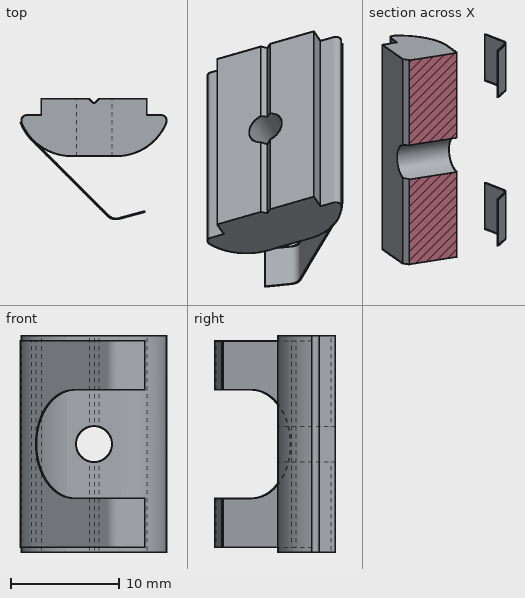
import cadquery as cq
import math

block_length = 20.0
tenon_half_width = 4.88
tenon_height = 1.5
block_half_width = 6.7
block_depth = 5.3
flat_half_width = 2.48
side_radius = 5.0
lip_radius = 0.5
notch_half_width = 0.45
notch_depth = 0.45
hole_diameter = 3.3

spring_length = 19.05
spring_thickness = 0.1
spring_front_y = -11.15
wrap_end = 221.6
leg_angle = 45.0
tip_angle = 15.0
bend_radius = 1.1
tip_end_x = 4.7
cutout_radius = 5.0
cutout_center_x = -1.85

side_center_x = 2.05
side_center_y = -block_depth + math.sqrt(side_radius**2 - (flat_half_width - side_center_x) ** 2)

edge_angle = math.degrees(math.acos((block_half_width - side_center_x) / side_radius))


def polar(center, radius, angle):
    """Point on a circle, with the angle in degrees from +X."""
    turn = math.radians(angle)
    return (center[0] + radius * math.cos(turn), center[1] + radius * math.sin(turn))


def make_block():
    side_center = (side_center_x, side_center_y)
    lip_center = (block_half_width - lip_radius, -tenon_height - lip_radius)
    flat_edge = (flat_half_width, -block_depth)
    flat_angle = -math.degrees(math.acos((flat_half_width - side_center_x) / side_radius))
    half = (
        cq.Workplane("XY")
        .moveTo(0, -notch_depth)
        .lineTo(notch_half_width, 0)
        .lineTo(tenon_half_width, 0)
        .lineTo(tenon_half_width, -tenon_height)
        .lineTo(lip_center[0], -tenon_height)
        .threePointArc(polar(lip_center, lip_radius, 45), polar(lip_center, lip_radius, 0))
        .lineTo(*polar(side_center, side_radius, -edge_angle))
        .threePointArc(polar(side_center, side_radius, (flat_angle - edge_angle) / 2), flat_edge)
        .lineTo(0, -block_depth)
        .close()
        .extrude(block_length / 2, both=True)
    )
    hole = cq.Workplane("XZ").circle(hole_diameter / 2).extrude(block_depth)
    return half.union(half.mirror("YZ")).clean().cut(hole)


def make_spring():
    wrap_center = (-side_center_x, side_center_y)
    wrap_outer = side_radius + spring_thickness
    wrap_start = 180 + edge_angle
    wrap_middle = (wrap_start + wrap_end) / 2

    leg_outer_start = polar(wrap_center, wrap_outer, wrap_end)
    leg_normal = 270 - leg_angle
    leg_inner_start = polar(leg_outer_start, -spring_thickness, leg_normal)
    bend_center_y = spring_front_y + bend_radius
    leg_turn = math.radians(leg_angle)
    bend_center_x = (
        leg_outer_start[0]
        + bend_radius / math.sin(leg_turn)
        + (leg_outer_start[1] - bend_center_y) / math.tan(leg_turn)
    )
    bend_center = (bend_center_x, bend_center_y)
    bend_inner = bend_radius - spring_thickness
    bend_end = 270 + tip_angle
    bend_middle = (leg_normal + bend_end) / 2

    tip_turn = math.radians(tip_angle)
    bend_outer_end = polar(bend_center, bend_radius, bend_end)
    tip_length = (tip_end_x - bend_outer_end[0]) / math.cos(tip_turn)
    tip_outer = polar(bend_outer_end, tip_length, tip_angle)
    tip_inner = polar(tip_outer, spring_thickness, 90 + tip_angle)

    strip = (
        cq.Workplane("XY")
        .moveTo(*polar(wrap_center, wrap_outer, wrap_start))
        .threePointArc(
            polar(wrap_center, wrap_outer, wrap_middle),
            leg_outer_start,
        )
        .lineTo(*polar(bend_center, bend_radius, leg_normal))
        .threePointArc(polar(bend_center, bend_radius, bend_middle), bend_outer_end)
        .lineTo(*tip_outer)
        .lineTo(*tip_inner)
        .lineTo(*polar(bend_center, bend_inner, bend_end))
        .threePointArc(
            polar(bend_center, bend_inner, bend_middle),
            polar(bend_center, bend_inner, leg_normal),
        )
        .lineTo(*leg_inner_start)
        .lineTo(*polar(wrap_center, side_radius, wrap_end))
        .threePointArc(
            polar(wrap_center, side_radius, wrap_middle),
            polar(wrap_center, side_radius, wrap_start),
        )
        .close()
        .extrude(spring_length / 2, both=True)
    )
    return strip.cut(make_cutout(leg_outer_start))


def make_cutout(leg_start):
    """Round-ended opening square to the leg, running out through the tip."""
    leg_turn = math.radians(leg_angle)
    center_y = leg_start[1] - (cutout_center_x - leg_start[0]) * math.tan(leg_turn)
    run_out = 2 * (tip_end_x - cutout_center_x)
    leg_plane = cq.Plane(
        origin=(cutout_center_x, center_y, 0),
        xDir=(math.cos(leg_turn), -math.sin(leg_turn), 0),
        normal=(math.sin(leg_turn), math.cos(leg_turn), 0),
    )
    return (
        cq.Workplane(leg_plane)
        .moveTo(0, cutout_radius)
        .threePointArc((-cutout_radius, 0), (0, -cutout_radius))
        .lineTo(run_out, -cutout_radius)
        .lineTo(run_out, cutout_radius)
        .close()
        .extrude(run_out, both=True)
    )


result = make_block().union(make_spring())